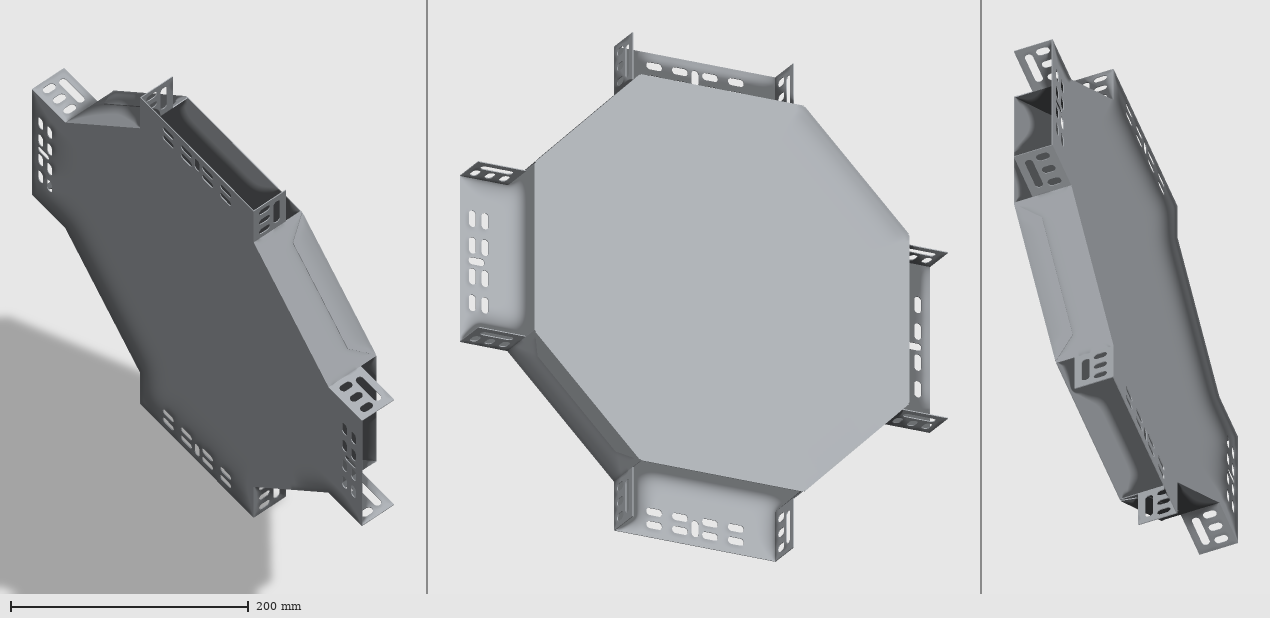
import cadquery as cq
import math

span = 441.5
depth = 51.5
sheet = 0.8
arm_width = 152.0
arm_length = 44.5

half_span = span / 2
half_arm = arm_width / 2
shoulder = half_span - arm_length
lid_bottom = depth - sheet

tab_depth = 35.0
tab_slot_length = 30.0
tab_slot_width = 7.0
tab_slot_height = 25.0
tab_hole_length = 12.0
tab_hole_width = 7.0
tab_hole_pitch = 13.5
tab_hole_height = 12.0

slot_length = 15.0
slot_width = 6.5
outer_slot_offset = 38.5
inner_slot_offset = 14.0
first_row_inset = 11.5
row_pitch = 12.0
cross_slot_inset = 15.5
row_count = 2

wall_distance = (shoulder + half_arm) / math.sqrt(2)
wall_length = (shoulder - half_arm) * math.sqrt(2)

mitre = sheet * math.tan(math.radians(45 / 2))

lip_depth = 20.5
lip_end_gap = 1.8
lip_taper = 17.0

ARM_ANGLES = (0, 90, 180, 270)
DIAGONAL_ANGLES = (45, 135, 225, 315)


def turned(body, angle):
    """Turn a body about the Y axis, the axis of the cross."""
    return body.rotate((0, 0, 0), (0, 1, 0), angle)


def box(x_range, y_range, z_range):
    """Box given by its two limits along each axis."""
    size = [high - low for low, high in (x_range, y_range, z_range)]
    corner = (x_range[0], y_range[0], z_range[0])
    return cq.Workplane("XY").box(*size, centered=False).translate(corner)


def sheet_slot(x, z, length, width, angle):
    """Cutter for a round-ended slot through the face sheet."""
    profile = cq.Workplane("XZ").center(x, z).slot2D(length, width, angle)
    return profile.extrude(sheet, both=True)


def tab_slot(x, y, length, width, angle):
    """Cutter for a round-ended slot through both tabs of the +X arm."""
    profile = cq.Workplane("XY").center(x, y).slot2D(length, width, angle)
    return profile.extrude(arm_width, both=True)


def octagon_sheet(y):
    """Octagon that spans the four shoulders, its front face at the given Y."""
    corners = [
        (shoulder, half_arm), (half_arm, shoulder),
        (-half_arm, shoulder), (-shoulder, half_arm),
        (-shoulder, -half_arm), (-half_arm, -shoulder),
        (half_arm, -shoulder), (shoulder, -half_arm),
    ]
    plate = cq.Workplane("XZ").polyline(corners).close().extrude(-sheet)
    return plate.translate((0, y, 0))


def arm():
    """Arm toward +X: flat sheet with its slot pattern, and two tabs with theirs."""
    x_range = (shoulder, half_span)
    body = box(x_range, (0, sheet), (-half_arm, half_arm))
    tab_range = (shoulder - mitre, half_span)
    body = body.union(box(tab_range, (0, tab_depth), (half_arm - sheet, half_arm)))
    body = body.union(box(tab_range, (0, tab_depth), (-half_arm, sheet - half_arm)))

    for row in range(row_count):
        x = half_span - first_row_inset - row * row_pitch
        for offset in (outer_slot_offset, inner_slot_offset):
            for z in (-offset, offset):
                body = body.cut(sheet_slot(x, z, slot_length, slot_width, 90))
    body = body.cut(sheet_slot(half_span - cross_slot_inset, 0, slot_length, slot_width, 0))

    tab_middle = half_span - arm_length / 2
    body = body.cut(tab_slot(tab_middle, tab_slot_height, tab_slot_length, tab_slot_width, 0))
    for step in (-1, 0, 1):
        x = tab_middle + step * tab_hole_pitch
        body = body.cut(tab_slot(x, tab_hole_height, tab_hole_length, tab_hole_width, 90))
    return body


def wall():
    """Wall on the +X side, its ends mitred to meet the tabs."""
    half_outer = wall_length / 2
    half_inner = half_outer + mitre
    inner_face = wall_distance - sheet
    outline = [
        (wall_distance, -half_outer), (wall_distance, half_outer),
        (inner_face, half_inner), (inner_face, -half_inner),
    ]
    return cq.Workplane("XZ").polyline(outline).close().extrude(-lid_bottom)


def make_tray():
    """Cross-shaped sheet with four arms and a wall along each diagonal edge."""
    tray = octagon_sheet(0)
    one_arm = arm()
    for angle in ARM_ANGLES:
        tray = tray.union(turned(one_arm, angle))
    one_wall = wall()
    for angle in DIAGONAL_ANGLES:
        tray = tray.union(turned(one_wall, angle))
    return tray


def lip():
    """Lip on the +X side that hangs outside a tray wall, narrowing toward its free edge."""
    half_root = wall_length / 2 - lip_end_gap
    half_edge = half_root - lip_taper
    free_edge = depth - lip_depth
    outline = [
        (depth, -half_root), (lid_bottom, -half_root), (free_edge, -half_edge),
        (free_edge, half_edge), (lid_bottom, half_root), (depth, half_root),
    ]
    profile = cq.Workplane("YZ").polyline(outline).close()
    return profile.extrude(sheet).translate((wall_distance, 0, 0))


def make_lid():
    """Octagonal cover resting on the tray walls, with a lip over each wall."""
    lid = octagon_sheet(lid_bottom)
    one_lip = lip()
    for angle in DIAGONAL_ANGLES:
        lid = lid.union(turned(one_lip, angle))
    return lid


tray = make_tray()
lid = make_lid()

result = cq.Compound.makeCompound([tray.val(), lid.val()])